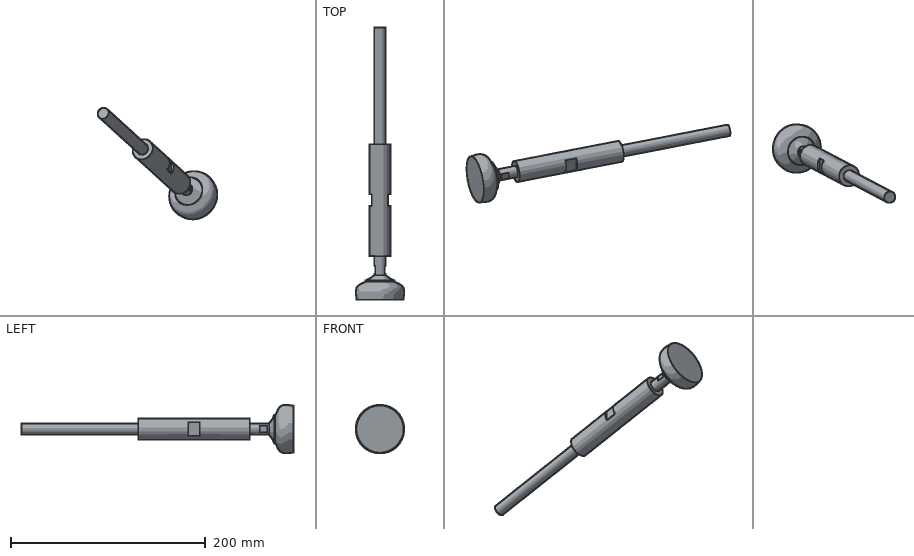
import cadquery as cq
import math

overall_length = 280.0

foot_radius = 49.98 / 2
foot_base_radius = 24.2
skirt_top = 6.0
band_top = 8.5
shoulder_point = (22.7, 14.4)
shoulder_slope = math.radians(23)
shoulder_end = (14.5, 18.8)

collar_rim_radius = 15.0
collar_rim_height = 19.9
collar_top = 25.3
collar_hollow = 0.5

stem_radius = 12.0 / 2
sleeve_radius = 22.0 / 2
sleeve_start = 45.0
sleeve_length = 115.0

stem_flat_start = 27.0
stem_flat_length = 8.0
stem_across_flats = 10.0
sleeve_flat_length = 12.0
sleeve_across_flats = 17.0
sleeve_flat_start = sleeve_start + (sleeve_length - sleeve_flat_length) / 2


def cut_flats(body, start, length, across_flats, stock_radius):
    """Cut two parallel flats into a round stock, leaving across_flats along X."""
    flat_distance = across_flats / 2
    depth = stock_radius - flat_distance
    for side in (-1, 1):
        cutter = cq.Workplane("XY").box(2 * depth, length, 2 * stock_radius)
        cutter = cutter.translate((side * (flat_distance + depth), start + length / 2, 0))
        body = body.cut(cutter)
    return body


def make_foot_and_stem():
    """Foot, collar and long stem, turned as one piece."""
    profile = (
        cq.Workplane("XY")
        .lineTo(foot_base_radius, 0)
        .lineTo(foot_radius, skirt_top)
        .lineTo(foot_radius, band_top)
        .spline(
            [shoulder_point, shoulder_end],
            tangents=[(0, 1), (-math.cos(shoulder_slope), math.sin(shoulder_slope))],
            includeCurrent=True,
        )
        .lineTo(collar_rim_radius, collar_rim_height)
        .sagittaArc((stem_radius, collar_top), collar_hollow)
        .lineTo(stem_radius, overall_length)
        .lineTo(0, overall_length)
        .close()
    )
    body = profile.revolve(360, (0, 0), (0, 1))
    return cut_flats(body, stem_flat_start, stem_flat_length, stem_across_flats, stem_radius)


def make_sleeve():
    """Plain tube around the stem, with flats at the middle of its length."""
    tube = (
        cq.Workplane("XZ", origin=(0, sleeve_start, 0))
        .circle(sleeve_radius)
        .circle(stem_radius)
        .extrude(-sleeve_length)
    )
    return cut_flats(tube, sleeve_flat_start, sleeve_flat_length, sleeve_across_flats, sleeve_radius)


foot_and_stem = make_foot_and_stem()
sleeve = make_sleeve()
result = cq.Compound.makeCompound([foot_and_stem.solids().val(), sleeve.solids().val()])